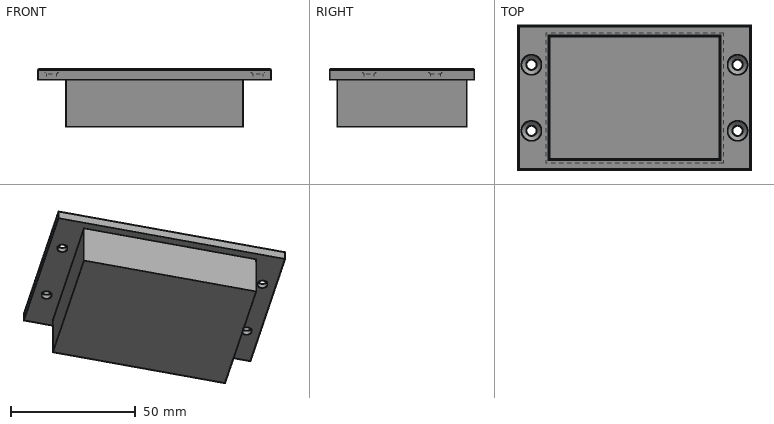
import cadquery as cq

plate_length = 93.5
plate_width = 58.0
plate_thickness = 4.5
rim_chamfer = 0.505

total_height = 23.3
block_length = 71.1
block_width = 52.0
block_height = total_height - plate_thickness

recess_length = 69.0
recess_width = 50.0
recess_depth = 0.505
recess_wall_angle = 45.0

hole_diameter = 4.0
countersink_diameter = 8.0
countersink_angle = 90.0
hole_spacing_x = 82.6
hole_spacing_y = 26.5


def make_plate():
    """Plate resting on Z = 0, with its upper rim chamfered."""
    plate = cq.Workplane("XY").box(
        plate_length, plate_width, plate_thickness, centered=(True, True, False)
    )
    return plate.faces(">Z").edges().chamfer(rim_chamfer)


def make_block():
    """Plain block hanging below the plate."""
    return cq.Workplane("XY").rect(block_length, block_width).extrude(-block_height)


def make_recess():
    """Recess volume, narrowing from the top face down to its floor."""
    return (
        cq.Workplane("XY", origin=(0, 0, plate_thickness))
        .rect(recess_length, recess_width)
        .extrude(-recess_depth, taper=recess_wall_angle)
    )


def cut_mounting_holes(body):
    """Through holes in the overhanging ends, countersunk from above."""
    return (
        body.faces(">Z")
        .workplane(origin=(0, 0, plate_thickness))
        .rect(hole_spacing_x, hole_spacing_y, forConstruction=True)
        .vertices()
        .cskHole(hole_diameter, countersink_diameter, countersink_angle)
    )


body = make_plate().union(make_block()).cut(make_recess())
result = cut_mounting_holes(body)